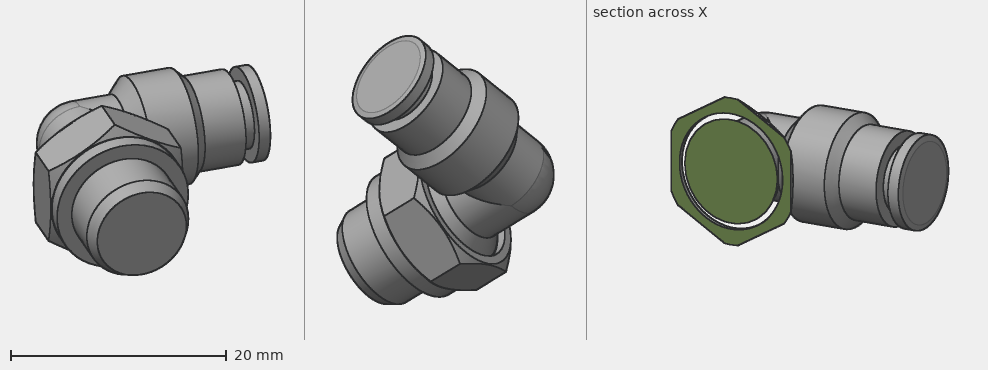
import cadquery as cq
import math


neck_radius = 4.0

swivel_cone_start = 5.02
swivel_radius = 5.5
swivel_cone_end = swivel_cone_start + swivel_radius - neck_radius
flange_end = 12.19
flange_radius = 6.45
thread_chamfer_start = 16.42
thread_end = 17.61
thread_radius = 5.0
thread_tip_radius = 4.38

hex_start = 5.62
hex_end = 10.61
hex_across_flats = 13.0
hex_across_corners = hex_across_flats / math.cos(math.pi / 6)
hex_face_radius = 6.4
hex_chamfer_length = 0.67
hex_bore_radius = 5.57

socket_cone_start = 3.75
collar_start = 5.21
collar_end = 9.75
collar_radius = 5.5
sleeve_start = 10.75
sleeve_end = 14.78
sleeve_radius = 4.52
groove_radius = 3.21
release_ring_start = 16.06
release_ring_rim = 17.18
release_ring_end = 23.8 - hex_across_flats / 2
release_ring_top_radius = 3.93


def revolve_about_x(stations):
    """Solid of revolution about X from (distance, radius) stations."""
    first = stations[0][0]
    last = stations[-1][0]
    profile = [(first, 0)] + stations + [(last, 0)]
    return cq.Workplane("XY").polyline(profile).close().revolve(360, (0, 0, 0), (1, 0, 0))


def make_threaded_arm():
    return revolve_about_x([
        (0, neck_radius),
        (swivel_cone_start, neck_radius),
        (swivel_cone_end, swivel_radius),
        (hex_end, swivel_radius),
        (hex_end, flange_radius),
        (flange_end, flange_radius),
        (flange_end, thread_radius),
        (thread_chamfer_start, thread_radius),
        (thread_end, thread_tip_radius),
    ])


def make_tube_arm():
    arm = revolve_about_x([
        (0, neck_radius),
        (socket_cone_start, neck_radius),
        (collar_start, collar_radius),
        (collar_end, collar_radius),
        (sleeve_start, sleeve_radius),
        (sleeve_end, sleeve_radius),
        (sleeve_end, groove_radius),
        (release_ring_start, groove_radius),
        (release_ring_start, sleeve_radius),
        (release_ring_rim, sleeve_radius),
        (release_ring_end, release_ring_top_radius),
    ])
    return arm.rotate((0, 0, 0), (0, 0, 1), 90)


def make_hex_nut():
    prism = (
        cq.Workplane("YZ", origin=(hex_start, 0, 0))
        .polygon(6, hex_across_corners)
        .extrude(hex_end - hex_start)
        .rotate((0, 0, 0), (1, 0, 0), 90)
    )
    corner_radius = hex_across_corners / 2
    envelope = revolve_about_x([
        (hex_start, hex_face_radius),
        (hex_start + hex_chamfer_length, corner_radius),
        (hex_end - hex_chamfer_length, corner_radius),
        (hex_end, hex_face_radius),
    ])
    recess = revolve_about_x([
        (hex_start, hex_bore_radius),
        (swivel_cone_end, hex_bore_radius),
    ])
    return prism.intersect(envelope).cut(recess)


elbow_ball = cq.Workplane("XY").sphere(neck_radius)

result = (
    make_threaded_arm()
    .union(make_hex_nut())
    .union(make_tube_arm())
    .union(elbow_ball)
)